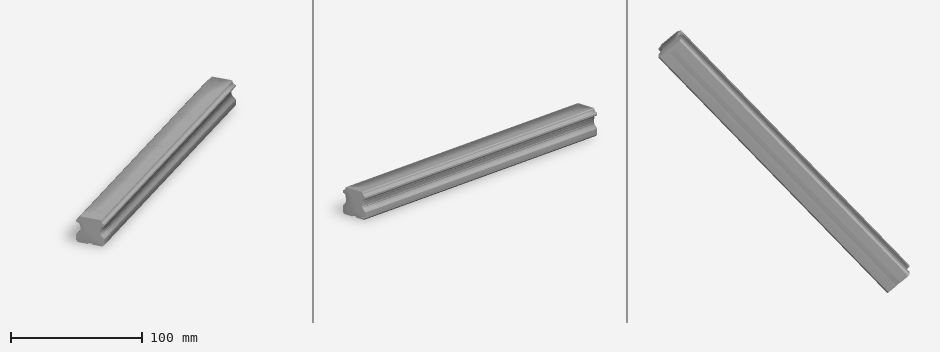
import cadquery as cq
import math

LENGTH = 260.0
WIDTH = 23.0
HEIGHT = 22.0
HALF_WIDTH = WIDTH / 2

FOOT_CHAMFER = 1.4
BASE_TOP = 6.1
BASE_BLUNT_WIDTH = 0.3
BASE_BLUNT_HEIGHT = 0.6

NECK_HALF_WIDTH = 8.5
NECK_RELIEF_DEPTH = 0.4
NECK_RELIEF_BOTTOM = 10.0
NECK_RELIEF_TOP = 13.7

HEAD_CENTER = 17.85
LIP_HALF_HEIGHT = 0.7
LIP_BLUNT = 0.5
SHOULDER_HALF_WIDTH = 8.9
TRACK_INNER_OFFSET = 3.4
TRACK_RADIUS = 2.3
TOP_HALF_WIDTH = 8.3

FOOT_GROOVE_WIDTH = 4.0
FOOT_GROOVE_DEPTH = 0.8

CAP_COUNT = 5
CAP_PITCH = 60.0
CAP_DIAMETER = 11.0
CAP_RECESS = 0.1


def track_midpoint(inner, outer):
    """Deepest point of the concave track arc joining its inner and outer ends."""
    chord_x = outer[0] - inner[0]
    chord_z = outer[1] - inner[1]
    chord = math.hypot(chord_x, chord_z)
    sag = TRACK_RADIUS - math.sqrt(TRACK_RADIUS**2 - (chord / 2) ** 2)
    toward_middle = math.copysign(1, chord_z)
    return (
        (inner[0] + outer[0]) / 2 - sag * abs(chord_z) / chord,
        (inner[1] + outer[1]) / 2 + toward_middle * sag * abs(chord_x) / chord,
    )


def half_section():
    """Right half of the rail section, from the mounting face up to the top face."""
    slope_start = (HALF_WIDTH - BASE_BLUNT_WIDTH, BASE_TOP + BASE_BLUNT_HEIGHT)
    slope_top = slope_start[1] + slope_start[0] - NECK_HALF_WIDTH
    relief_wall = NECK_HALF_WIDTH - NECK_RELIEF_DEPTH

    lip_edge = HALF_WIDTH - LIP_BLUNT
    lip_offset = LIP_HALF_HEIGHT + LIP_BLUNT
    lower_inner = (NECK_HALF_WIDTH, HEAD_CENTER - TRACK_INNER_OFFSET)
    lower_outer = (lip_edge, HEAD_CENTER - lip_offset)
    upper_outer = (lip_edge, HEAD_CENTER + lip_offset)
    upper_inner = (SHOULDER_HALF_WIDTH, HEAD_CENTER + TRACK_INNER_OFFSET)

    return (
        cq.Workplane("XZ")
        .lineTo(HALF_WIDTH - FOOT_CHAMFER, 0)
        .lineTo(HALF_WIDTH, FOOT_CHAMFER)
        .lineTo(HALF_WIDTH, BASE_TOP)
        .lineTo(*slope_start)
        .lineTo(NECK_HALF_WIDTH, slope_top)
        .lineTo(NECK_HALF_WIDTH, NECK_RELIEF_BOTTOM)
        .lineTo(relief_wall, NECK_RELIEF_BOTTOM + NECK_RELIEF_DEPTH)
        .lineTo(relief_wall, NECK_RELIEF_TOP - NECK_RELIEF_DEPTH)
        .lineTo(NECK_HALF_WIDTH, NECK_RELIEF_TOP)
        .lineTo(*lower_inner)
        .threePointArc(track_midpoint(lower_inner, lower_outer), lower_outer)
        .lineTo(HALF_WIDTH, HEAD_CENTER - LIP_HALF_HEIGHT)
        .lineTo(HALF_WIDTH, HEAD_CENTER + LIP_HALF_HEIGHT)
        .lineTo(*upper_outer)
        .threePointArc(track_midpoint(upper_inner, upper_outer), upper_inner)
        .lineTo(TOP_HALF_WIDTH, HEIGHT)
        .lineTo(0, HEIGHT)
        .close()
    )


def rail_body():
    """Extrude the symmetric rail section along Y, centred on the origin."""
    half_rail = half_section().extrude(LENGTH / 2, both=True)
    return half_rail.union(half_rail.mirror("YZ"))


def foot_groove():
    """Shallow groove running the full length of the mounting face."""
    groove = cq.Workplane("XY")
    return groove.box(FOOT_GROOVE_WIDTH, LENGTH, FOOT_GROOVE_DEPTH, centered=(True, True, False))


def cap_recesses():
    """Row of shallow round recesses in the top face."""
    return (
        cq.Workplane("XY", origin=(0, 0, HEIGHT))
        .rarray(1, CAP_PITCH, 1, CAP_COUNT)
        .circle(CAP_DIAMETER / 2)
        .extrude(-CAP_RECESS)
    )


result = rail_body().cut(foot_groove()).cut(cap_recesses())